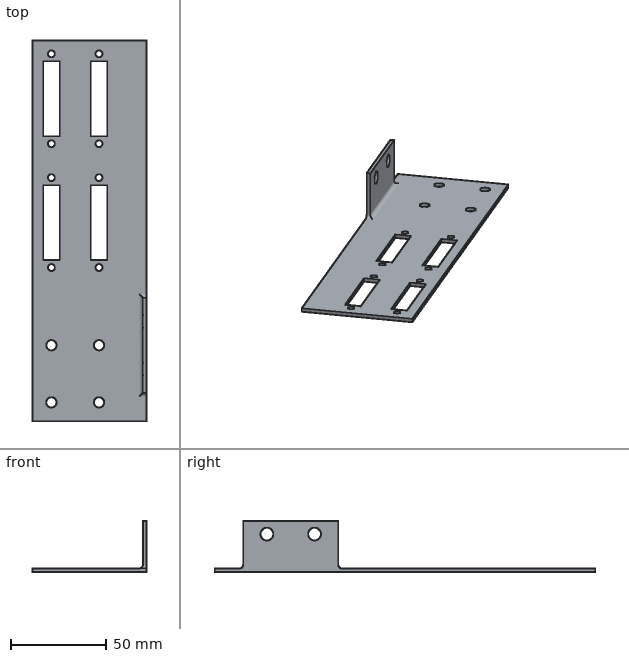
import cadquery as cq

plate_width = 60.0
plate_length = 200.0
sheet_thickness = 2.0

flange_length = 50.0
flange_start_y = 15.0
flange_top_z = 27.0
flange_hole_diameter = 6.6
flange_hole_spacing = 25.0
flange_hole_z = 20.0
root_fillet_radius = 2.0

column_xs = (10.0, 35.0)

window_width = 8.5
window_length = 39.2
screw_hole_diameter = 3.5
screw_hole_spacing = 47.2
screw_hole_end_margin = 7.0
connector_pitch = 65.0
upper_connector_y = plate_length - screw_hole_end_margin - screw_hole_spacing / 2
connector_ys = (upper_connector_y, upper_connector_y - connector_pitch)

mounting_hole_diameter = 5.3
mounting_hole_ys = (10.0, 40.0)

flange_inner_x = plate_width - sheet_thickness
flange_end_y = flange_start_y + flange_length
flange_center_y = flange_start_y + flange_length / 2


def make_bracket_body():
    """Plate and flange, with a fillet around the three inner sides of the flange root."""
    plate = cq.Workplane("XY").box(plate_width, plate_length, sheet_thickness, centered=False)
    flange = (
        cq.Workplane("XY")
        .box(sheet_thickness, flange_length, flange_top_z, centered=False)
        .translate((flange_inner_x, flange_start_y, 0))
    )
    clearance = sheet_thickness / 4
    root_edges = cq.selectors.BoxSelector(
        (flange_inner_x - clearance, flange_start_y - clearance, sheet_thickness - clearance),
        (plate_width + clearance, flange_end_y + clearance, sheet_thickness + clearance),
    )
    return plate.union(flange).edges(root_edges).fillet(root_fillet_radius)


def plate_hole_cutter(points, diameter):
    """Cylinders through the plate thickness at the given XY points."""
    return cq.Workplane("XY").pushPoints(points).circle(diameter / 2).extrude(sheet_thickness)


def connector_cutter(center_x, center_y):
    """Window and its two screw holes for one connector."""
    window = (
        cq.Workplane("XY")
        .center(center_x, center_y)
        .rect(window_width, window_length)
        .extrude(sheet_thickness)
    )
    screw_points = [(center_x, center_y + side * screw_hole_spacing / 2) for side in (-1, 1)]
    return window.union(plate_hole_cutter(screw_points, screw_hole_diameter))


def flange_hole_cutter():
    """Pair of holes through the flange along X."""
    hole_points = [(flange_center_y + side * flange_hole_spacing / 2, flange_hole_z) for side in (-1, 1)]
    return (
        cq.Workplane("YZ", origin=(flange_inner_x, 0, 0))
        .pushPoints(hole_points)
        .circle(flange_hole_diameter / 2)
        .extrude(sheet_thickness)
    )


result = make_bracket_body()

for column_x in column_xs:
    for connector_y in connector_ys:
        result = result.cut(connector_cutter(column_x, connector_y))

mounting_points = [(x, y) for x in column_xs for y in mounting_hole_ys]
result = result.cut(plate_hole_cutter(mounting_points, mounting_hole_diameter))
result = result.cut(flange_hole_cutter())